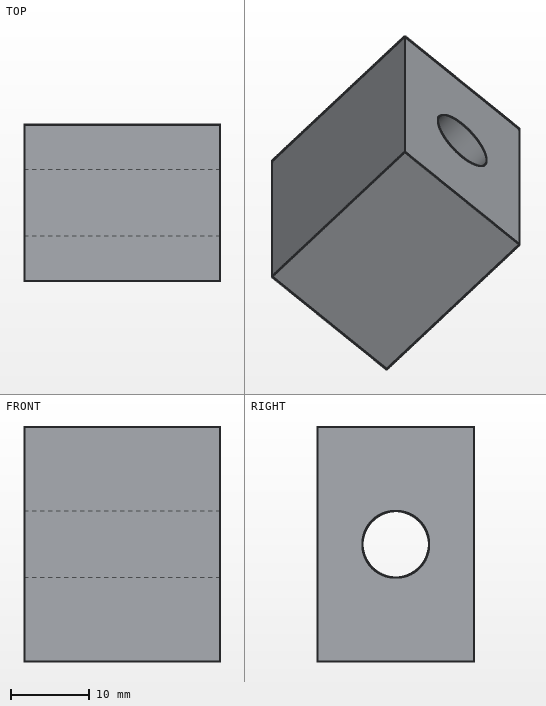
import cadquery as cq

length_x = 25.0
width_y = 20.0
height_z = 30.0

hole_diameter = 8.5

block = cq.Workplane("XY").box(length_x, width_y, height_z)

result = block.faces("<X").workplane().hole(hole_diameter)